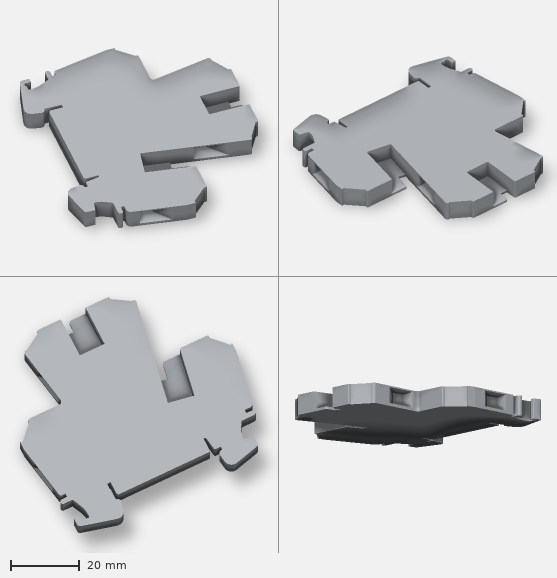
import cadquery as cq
import math

LENGTH = 69.0
HEIGHT = 62.7
THICKNESS = 6.0
WALL_ANGLE = math.radians(10.0)
TAPER = math.tan(WALL_ANGLE)

TOWER_RIM = 61.9
TOWER_LUG_TOP = 59.0
TOWER_LUG_ROOT = 58.6
SHOULDER_TOP = 39.25
SHOULDER_RIM = 38.35
SHOULDER_LUG_TOP = 33.95
SHOULDER_LUG_ROOT = 33.7
SHOULDER_KNEE = 31.1
SHOULDER_BOTTOM = 13.8
LIP_TOP = 12.7
LIP_BOTTOM = 11.2
BASE_BOTTOM = 6.7
CLAW_TOP = 5.65

TOWER_X = -3.05
TOWER_TOP_HALF = 11.7
TOWER_LUG_ROOT_HALF = 17.1
RIM_RADIUS = 0.3
LUG_RADIUS = 0.75
ARMPIT_RADIUS = 1.0

HALF_LENGTH = LENGTH / 2
SHOULDER_LUG_ROOT_HALF = 33.8
SHOULDER_TOP_HALF = 29.3
RIGHT_BOTTOM_RADIUS = 1.4
LEFT_BOTTOM_RADIUS = 0.7

SLOT_WIDTH = 2.5
SLOT_ENTRY_RADIUS = 0.8
SLOT_LEFT_RADIUS = 0.4
POCKET_WIDTH = 8.1
POCKET_DROP = 8.9
POCKET_RISE = 6.9
POCKET_FLOOR = 0.75
TOWER_SLOT = (-7.05, 59.1)
SHOULDER_SLOT = (11.05, 34.4)

FUNNEL_OPENING_Z = (0.9, 5.6)
FUNNEL_END_Z = (1.5, 5.25)
FUNNEL_DEPTH = 5.4
TOWER_FUNNEL_OPENING = (41.5, 51.6)
TOWER_FUNNEL_END = (42.15, 45.95)
SHOULDER_FUNNEL_OPENING = (17.45, 26.85)
SHOULDER_FUNNEL_END = (17.9, 21.7)


def tower_wall_half(y):
    """Half width of the tower between its slanted walls at height y."""
    return SHOULDER_SLOT[0] - TOWER_X + (y - SHOULDER_SLOT[1]) * TAPER


def shoulder_wall_half(y):
    """Half width of the body between its slanted outer walls at height y."""
    return HALF_LENGTH - (SHOULDER_KNEE - y) * TAPER


def tower_corners(side):
    """Corners of one tower flank from the top edge down to the lug."""
    return [
        (TOWER_X + side * TOWER_TOP_HALF, HEIGHT, RIM_RADIUS),
        (TOWER_X + side * TOWER_TOP_HALF, TOWER_RIM, 0),
        (TOWER_X + side * TOWER_LUG_ROOT_HALF, TOWER_LUG_ROOT, 0),
        (TOWER_X + side * tower_wall_half(TOWER_LUG_TOP), TOWER_LUG_TOP, LUG_RADIUS),
    ]


def shoulder_corners(side, bottom_radius):
    """Corners of one shoulder from its top edge down to its lower corner."""
    return [
        (side * SHOULDER_TOP_HALF, SHOULDER_TOP, RIM_RADIUS),
        (side * SHOULDER_TOP_HALF, SHOULDER_RIM, 0),
        (side * SHOULDER_LUG_ROOT_HALF, SHOULDER_LUG_ROOT, 0),
        (side * HALF_LENGTH, SHOULDER_LUG_TOP, 0),
        (side * HALF_LENGTH, SHOULDER_KNEE, 0),
        (side * shoulder_wall_half(SHOULDER_BOTTOM), SHOULDER_BOTTOM, bottom_radius),
    ]


def tower_slot_corners():
    """Marker slot in the tower's top edge, left to right."""
    left, floor = TOWER_SLOT
    right = left + SLOT_WIDTH
    return [
        (left, HEIGHT, SLOT_LEFT_RADIUS),
        (left, floor, 0),
        (right, floor, 0),
        (right, HEIGHT, SLOT_ENTRY_RADIUS),
    ]


def shoulder_slot_corners():
    """Marker slot between the tower's right wall and the right shoulder."""
    left, floor = SHOULDER_SLOT
    right = left + SLOT_WIDTH * math.cos(WALL_ANGLE)
    right_floor = floor - SLOT_WIDTH * math.sin(WALL_ANGLE)
    entry = right + (SHOULDER_TOP - right_floor) * TAPER
    return [
        (left, floor, 0),
        (right, right_floor, 0),
        (entry, SHOULDER_TOP, SLOT_ENTRY_RADIUS),
    ]


LIP_RADIUS = 0.7
CLAW_RADIUS = 1.1
TOE_RADIUS = 2.4

RIGHT_FOOT = [
    (28.65, SHOULDER_BOTTOM, 0),
    (28.65, LIP_TOP, 0),
    (31.2, LIP_TOP, LIP_RADIUS),
    (31.2, LIP_BOTTOM, LIP_RADIUS),
    (26.3, LIP_BOTTOM, 0),
    (24.55, 8.1, 4.15),
    (24.3, 5.9, 0.4),
    (27.3, 5.3, 0),
    (27.3, 2.2, 0.6),
    (16.7, -0.55, TOE_RADIUS),
    (15.8, CLAW_TOP, CLAW_RADIUS),
    (17.3, CLAW_TOP, 0),
    (17.3, BASE_BOTTOM, 0),
    (15.3, BASE_BOTTOM, 0.4),
    (14.6, LIP_BOTTOM, 0.2),
]

BASE = [
    (13.95, LIP_BOTTOM, 0.15),
    (13.95, BASE_BOTTOM, 0.35),
    (-16.35, BASE_BOTTOM, 0.6),
    (-16.35, LIP_BOTTOM, 0),
]

LEFT_FOOT = [
    (-17.5, LIP_BOTTOM, 0.35),
    (-17.5, CLAW_TOP, 0),
    (-16.0, CLAW_TOP, CLAW_RADIUS),
    (-17.2, -0.55, TOE_RADIUS),
    (-30.9, 3.0, 1.0),
    (-30.9, 6.0, 0.3),
    (-29.3, 6.0, 0.4),
    (-29.6, 3.8, 0.4),
    (-28.4, 3.8, 0),
    (-28.3, 4.15, 0),
    (-26.6, 4.15, 0.35),
    (-26.6, 6.7, 9.0),
    (-28.7, LIP_BOTTOM, 0),
    (-32.2, LIP_BOTTOM, LIP_RADIUS),
    (-32.2, LIP_TOP, LIP_RADIUS),
    (-29.75, LIP_TOP, 0),
    (-29.75, SHOULDER_BOTTOM, 0),
]


def rounded_outline(corners):
    """Closed wire through (x, y, radius) corners, each rounded by a tangent arc."""
    def corner_points(index):
        x, y, radius = corners[index]
        corner = cq.Vector(x, y)
        if radius == 0:
            return [corner]
        previous = cq.Vector(*corners[index - 1][:2])
        following = cq.Vector(*corners[(index + 1) % len(corners)][:2])
        back = (previous - corner).normalized()
        ahead = (following - corner).normalized()
        half_angle = back.getAngle(ahead) / 2
        reach = radius / math.tan(half_angle)
        to_middle = radius / math.sin(half_angle) - radius
        middle = corner + (back + ahead).normalized() * to_middle
        return [corner + back * reach, middle, corner + ahead * reach]

    outline = cq.Workplane("XY")
    for index in range(len(corners)):
        points = corner_points(index)
        if index == 0:
            outline = outline.moveTo(points[0].x, points[0].y)
        else:
            outline = outline.lineTo(points[0].x, points[0].y)
        if len(points) > 1:
            outline = outline.threePointArc(points[1].toTuple()[:2], points[2].toTuple()[:2])
    return outline.close()


def marker_pocket(slot, tilt):
    """Cutter below and beside a slot, left open at the front face and at the top edge."""
    pocket = cq.Workplane("XY").box(
        POCKET_WIDTH, POCKET_DROP + POCKET_RISE, THICKNESS, centered=False
    )
    pocket = pocket.translate((0, -POCKET_DROP, POCKET_FLOOR))
    pocket = pocket.rotate((0, 0, 0), (0, 0, 1), -math.degrees(tilt))
    return pocket.translate((slot[0], slot[1], 0))


def wire_funnel(centre_x, side, wall_half, opening_span, end_span):
    """Cutter tapering from an opening in a slanted wall to an upright rectangle inside."""
    def rectangle(half_width, y_span, z_span):
        y_low, y_high = y_span
        z_low, z_high = z_span
        corners = ((y_low, z_low), (y_high, z_low), (y_high, z_high), (y_low, z_high))
        points = [cq.Vector(centre_x + side * half_width(y), y, z) for y, z in corners]
        return cq.Wire.makePolygon(points, close=True)

    def end_half(_):
        return wall_half(opening_span[1]) - FUNNEL_DEPTH

    opening = rectangle(wall_half, opening_span, FUNNEL_OPENING_Z)
    end = rectangle(end_half, end_span, FUNNEL_END_Z)
    return cq.Workplane(cq.Solid.makeLoft([opening, end], True))


outline_corners = (
    tower_slot_corners()
    + tower_corners(1)
    + shoulder_slot_corners()
    + shoulder_corners(1, RIGHT_BOTTOM_RADIUS)
    + RIGHT_FOOT
    + BASE
    + LEFT_FOOT
    + shoulder_corners(-1, LEFT_BOTTOM_RADIUS)[::-1]
    + [(TOWER_X - tower_wall_half(SHOULDER_TOP), SHOULDER_TOP, ARMPIT_RADIUS)]
    + tower_corners(-1)[::-1]
)
result = rounded_outline(outline_corners).extrude(THICKNESS)

result = result.cut(marker_pocket(TOWER_SLOT, 0))
result = result.cut(marker_pocket(SHOULDER_SLOT, WALL_ANGLE))

for side in (-1, 1):
    tower_funnel = wire_funnel(
        TOWER_X, side, tower_wall_half, TOWER_FUNNEL_OPENING, TOWER_FUNNEL_END
    )
    shoulder_funnel = wire_funnel(
        0, side, shoulder_wall_half, SHOULDER_FUNNEL_OPENING, SHOULDER_FUNNEL_END
    )
    result = result.cut(tower_funnel).cut(shoulder_funnel)